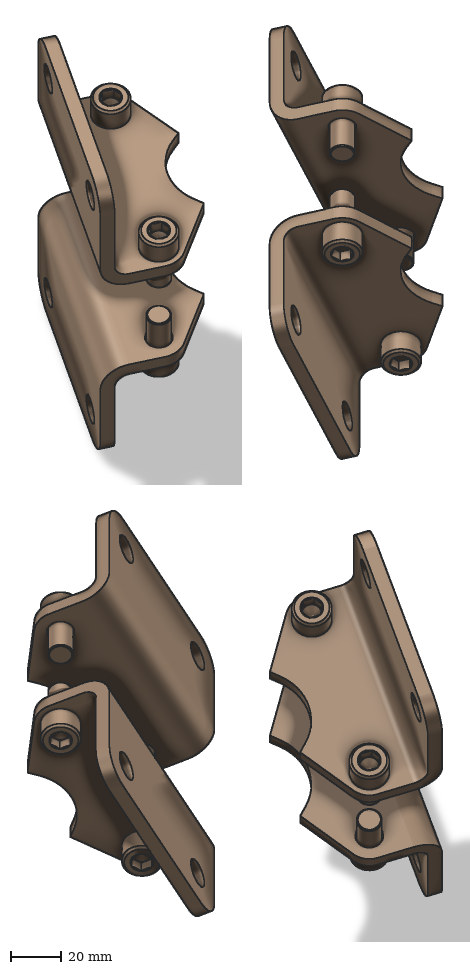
import cadquery as cq
import math

TOTAL_HEIGHT = 162.0
BRACKET_WIDTH = 93.0
SHELF_DEPTH = 50.4
GAP = 49.9

THICKNESS = 6.0
OUTER_BEND_RADIUS = 2 * THICKNESS
INNER_BEND_RADIUS = OUTER_BEND_RADIUS - THICKNESS
WALL_CORNER_RADIUS = OUTER_BEND_RADIUS
SHELF_BOTTOM = GAP / 2
SHELF_TOP = SHELF_BOTTOM + THICKNESS
WALL_TOP = TOTAL_HEIGHT / 2

MOUNT_HOLE_DIAMETER = 12.0
MOUNT_HOLE_SPACING = 63.0
MOUNT_HOLE_TOP_MARGIN = 15.0
MOUNT_HOLE_Z = WALL_TOP - MOUNT_HOLE_TOP_MARGIN

BOLT_SPACING = 72.0
BOLT_Y = 27.0
BOLT_HOLE_DIAMETER = 11.0
SHANK_DIAMETER = 10.0
SHANK_LENGTH = 20.0
SHANK_CHAMFER = 0.5
HEAD_DIAMETER = 16.0
HEAD_HEIGHT = SHANK_DIAMETER
HEAD_CHAMFER = 1.0

SOCKET_ACROSS_FLATS = 8.0
SOCKET_SIDES = 6
SOCKET_TURN = 180.0 / SOCKET_SIDES
SOCKET_ACROSS_CORNERS = SOCKET_ACROSS_FLATS / math.cos(math.pi / SOCKET_SIDES)
SOCKET_DEPTH = HEAD_HEIGHT / 2
SOCKET_POINT_ANGLE = 120.0

SADDLE_RADIUS = 22.0
SADDLE_SIDE_ANGLE = 45.0
TIP_SPACING = 37.9
SHOULDER_RADIUS = (BRACKET_WIDTH - BOLT_SPACING) / 2


def angled_section():
    """L-shaped sheet with a rounded bend, extruded across the bracket width."""
    section = (
        cq.Workplane("YZ")
        .moveTo(0, SHELF_BOTTOM)
        .lineTo(SHELF_DEPTH, SHELF_BOTTOM)
        .lineTo(SHELF_DEPTH, SHELF_TOP)
        .lineTo(OUTER_BEND_RADIUS, SHELF_TOP)
        .radiusArc((THICKNESS, SHELF_BOTTOM + OUTER_BEND_RADIUS), INNER_BEND_RADIUS)
        .lineTo(THICKNESS, WALL_TOP)
        .lineTo(0, WALL_TOP)
        .close()
        .extrude(BRACKET_WIDTH / 2, both=True)
    )
    outer_bend = cq.selectors.NearestToPointSelector((0, 0, SHELF_BOTTOM))
    return section.edges(outer_bend).fillet(OUTER_BEND_RADIUS)


def bracket_outline():
    """Plan shape of the bracket, as a prism tall enough to trim the whole bracket."""
    half_width = BRACKET_WIDTH / 2
    bolt_x = BOLT_SPACING / 2
    tip_x = TIP_SPACING / 2

    run = bolt_x - tip_x
    rise = SHELF_DEPTH - BOLT_Y
    tangent_angle = math.atan2(rise, -run) - math.acos(SHOULDER_RADIUS / math.hypot(run, rise))
    shoulder_x = bolt_x + SHOULDER_RADIUS * math.cos(tangent_angle)
    shoulder_y = BOLT_Y + SHOULDER_RADIUS * math.sin(tangent_angle)

    side_angle = math.radians(SADDLE_SIDE_ANGLE)
    saddle_x = SADDLE_RADIUS * math.sin(side_angle)
    saddle_y = SHELF_DEPTH - (tip_x - saddle_x) * math.tan(side_angle)
    saddle_bottom_y = saddle_y - SADDLE_RADIUS * (1 - math.cos(side_angle))

    return (
        cq.Workplane("XY")
        .moveTo(-half_width, 0)
        .lineTo(half_width, 0)
        .lineTo(half_width, BOLT_Y)
        .radiusArc((shoulder_x, shoulder_y), -SHOULDER_RADIUS)
        .lineTo(tip_x, SHELF_DEPTH)
        .lineTo(saddle_x, saddle_y)
        .threePointArc((0, saddle_bottom_y), (-saddle_x, saddle_y))
        .lineTo(-tip_x, SHELF_DEPTH)
        .lineTo(-shoulder_x, shoulder_y)
        .radiusArc((-half_width, BOLT_Y), -SHOULDER_RADIUS)
        .close()
        .extrude(WALL_TOP)
    )


def make_bracket():
    """Upper bracket: a wall at the front and a shelf at the bottom."""
    bracket = angled_section().intersect(bracket_outline())
    bracket = bracket.faces(">Z").edges("|Y").fillet(WALL_CORNER_RADIUS)

    mount_holes = (
        cq.Workplane("XZ")
        .pushPoints([(side * MOUNT_HOLE_SPACING / 2, MOUNT_HOLE_Z) for side in (-1, 1)])
        .circle(MOUNT_HOLE_DIAMETER / 2)
        .extrude(-THICKNESS)
    )
    bolt_holes = (
        cq.Workplane("XY", origin=(0, 0, SHELF_BOTTOM))
        .pushPoints([(side * BOLT_SPACING / 2, BOLT_Y) for side in (-1, 1)])
        .circle(BOLT_HOLE_DIAMETER / 2)
        .extrude(THICKNESS)
    )
    return bracket.cut(mount_holes).cut(bolt_holes)


def cone(radius, point_angle):
    """Cone that opens at z = 0 and comes to a point below it."""
    depth = radius / math.tan(math.radians(point_angle / 2))
    half_profile = cq.Workplane("XZ").polyline([(0, 0), (radius, 0), (0, -depth)]).close()
    return half_profile.revolve(360, (0, 0), (0, 1))


def hex_socket():
    """Hexagon recess with a conical bottom and a conical lead-in, opening at the head top."""
    floor = HEAD_HEIGHT - SOCKET_DEPTH
    recess = (
        cq.Workplane("XY", origin=(0, 0, floor))
        .polygon(SOCKET_SIDES, SOCKET_ACROSS_CORNERS)
        .extrude(SOCKET_DEPTH)
        .rotate((0, 0, 0), (0, 0, 1), SOCKET_TURN)
    )
    bottom = cone(SOCKET_ACROSS_FLATS / 2, SOCKET_POINT_ANGLE).translate((0, 0, floor))
    lead_in = cone(SOCKET_ACROSS_CORNERS / 2, SOCKET_POINT_ANGLE).translate((0, 0, HEAD_HEIGHT))
    return recess.union(bottom).union(lead_in)


def make_bolt():
    """Socket head bolt along Z with the underside of its head at z = 0."""
    head = cq.Workplane("XY").circle(HEAD_DIAMETER / 2).extrude(HEAD_HEIGHT)
    head = head.faces(">Z").edges().chamfer(HEAD_CHAMFER)
    shank = cq.Workplane("XY").circle(SHANK_DIAMETER / 2).extrude(-SHANK_LENGTH)
    shank = shank.faces("<Z").edges().chamfer(SHANK_CHAMFER)
    return head.union(shank).cut(hex_socket())


upper_bracket = make_bracket()
lower_bracket = upper_bracket.mirror("XY")

bolts = []
for side in (-1, 1):
    upper_bolt = make_bolt().translate((side * BOLT_SPACING / 2, BOLT_Y, SHELF_TOP))
    lower_bolt = upper_bolt.mirror("XY")
    bolts += [upper_bolt.val(), lower_bolt.val()]

result = cq.Compound.makeCompound([upper_bracket.val(), lower_bracket.val(), *bolts])